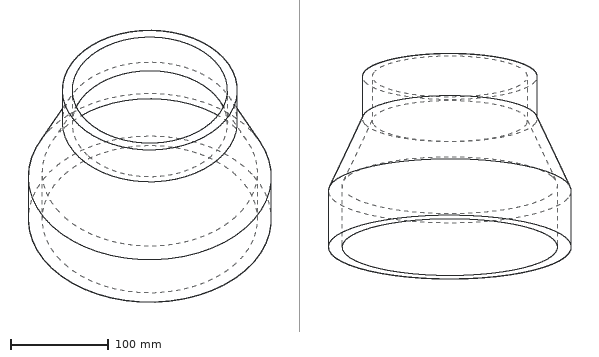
import cadquery as cq

wide_radius = 125.0
narrow_radius = 90.0
wide_wall = 14.2
narrow_wall = 10.2
total_height = 182.0

wide_length = 60.0
narrow_length = 45.0
wide_bore_length = 66.0
narrow_bore_length = 47.5


def stepped_cone(lower_radius, upper_radius, lower_length, upper_length):
    """Solid of revolution: lower cylinder, cone, then upper cylinder."""
    return (
        cq.Workplane("XZ")
        .lineTo(lower_radius, 0)
        .lineTo(lower_radius, lower_length)
        .lineTo(upper_radius, total_height - upper_length)
        .lineTo(upper_radius, total_height)
        .lineTo(0, total_height)
        .close()
        .revolve(360, (0, 0, 0), (0, 1, 0))
    )


outer_body = stepped_cone(wide_radius, narrow_radius, wide_length, narrow_length)
bore = stepped_cone(
    wide_radius - wide_wall,
    narrow_radius - narrow_wall,
    wide_bore_length,
    narrow_bore_length,
)

result = outer_body.cut(bore)